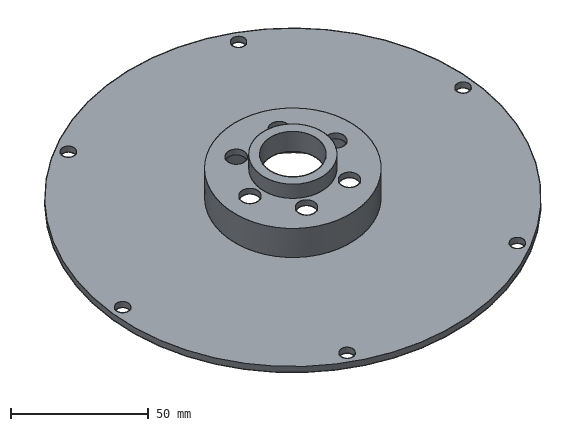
import cadquery as cq

plate_diameter = 180.0
plate_thickness = 3.0
hub_diameter = 64.0
hub_height = 14.4
neck_diameter = 32.0
total_height = 24.5
neck_height = total_height - plate_thickness - hub_height

hub_wall = 5.0
hub_roof_thickness = 2.9
cavity_diameter = hub_diameter - 2 * hub_wall
cavity_depth = plate_thickness + hub_height - hub_roof_thickness

bore_diameter = 24.1
holes_per_circle = 6
hub_hole_diameter = 8.1
hub_hole_circle_radius = 21.5
rim_hole_diameter = 6.0
rim_hole_circle_radius = 85.0


def drill_circle(body, circle_radius, hole_diameter):
    """Drill evenly spaced through holes, the first one on the +X axis."""
    holes = (
        cq.Workplane("XY")
        .polarArray(circle_radius, 0, 360, holes_per_circle)
        .circle(hole_diameter / 2)
        .extrude(total_height)
    )
    return body.cut(holes)


body = (
    cq.Workplane("XY")
    .circle(plate_diameter / 2)
    .extrude(plate_thickness)
    .faces(">Z")
    .workplane()
    .circle(hub_diameter / 2)
    .extrude(hub_height)
    .faces(">Z")
    .workplane()
    .circle(neck_diameter / 2)
    .extrude(neck_height)
)

cavity = cq.Workplane("XY").circle(cavity_diameter / 2).extrude(cavity_depth)
body = body.cut(cavity)

body = body.faces(">Z").workplane().hole(bore_diameter)

body = drill_circle(body, hub_hole_circle_radius, hub_hole_diameter)
result = drill_circle(body, rim_hole_circle_radius, rim_hole_diameter)